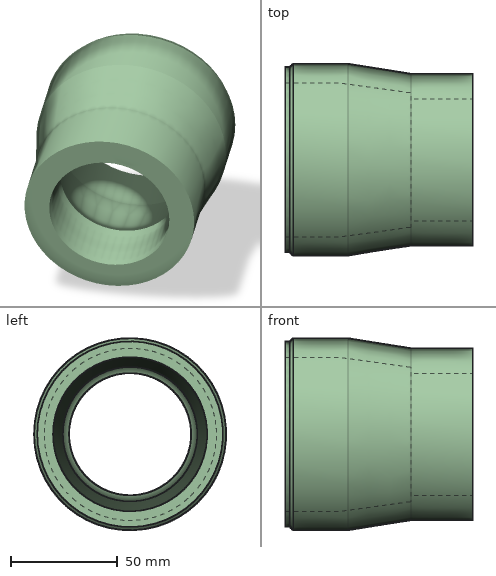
import cadquery as cq

total_length = 87.8
lip_length = 2.2
chamfer_length = 1.5
outer_taper_start = 29.25
outer_taper_end = 58.7
bore_taper_start = 25.0
bore_taper_end = outer_taper_end

body_diameter = 90.0
lip_diameter = 86.85
spigot_diameter = 80.6

socket_bore = 72.2
shoulder_bore = 62.9
outlet_bore = 57.1


def revolve_about_x(points):
    """Turn a closed (x, radius) outline into a solid around the X axis."""
    profile = cq.Workplane("XY").polyline(points).close()
    return profile.revolve(360, (0, 0, 0), (1, 0, 0))


outer_body = revolve_about_x([
    (0, 0),
    (0, lip_diameter / 2),
    (lip_length, lip_diameter / 2),
    (lip_length + chamfer_length, body_diameter / 2),
    (outer_taper_start, body_diameter / 2),
    (outer_taper_end, spigot_diameter / 2),
    (total_length, spigot_diameter / 2),
    (total_length, 0),
])

bore = revolve_about_x([
    (0, 0),
    (0, socket_bore / 2),
    (bore_taper_start, socket_bore / 2),
    (bore_taper_end, shoulder_bore / 2),
    (bore_taper_end, outlet_bore / 2),
    (total_length, outlet_bore / 2),
    (total_length, 0),
])

result = outer_body.cut(bore)